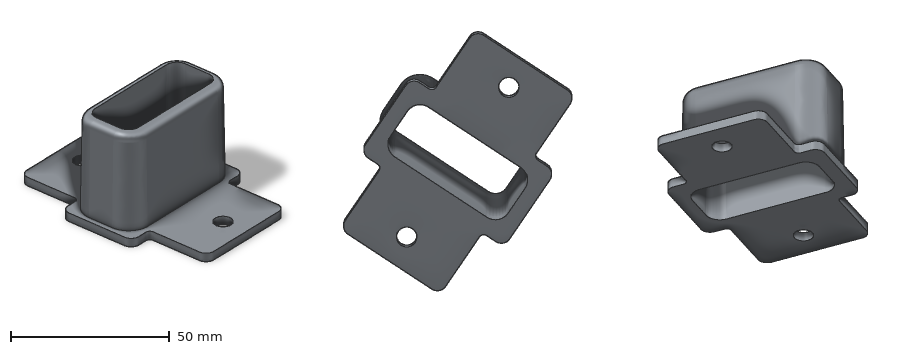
import cadquery as cq
import math

thickness = 3.15
flange_length = 76.95
arm_width = 38.1
tab_width = 29.2
tab_length = 54.65
outer_corner_radius = 3.15
inner_corner_radius = outer_corner_radius / 2

hole_diameter = 6.4
hole_spacing = 57.9

total_height = 38.1
socket_width = 25.4
socket_length = 50.8
socket_corner_radius = 7.9
draft_angle = 1.0
rim_radius = 3.15


def tapered_box(width, length, corner_radius, base_z):
    """Rounded box from base_z to the part's top, narrowing by the draft angle."""
    return (
        cq.Workplane("XY")
        .workplane(offset=base_z)
        .sketch()
        .rect(width, length)
        .vertices()
        .fillet(corner_radius)
        .finalize()
        .extrude(total_height - base_z, taper=draft_angle)
    )


def make_flange():
    arm = cq.Workplane("XY").box(
        flange_length, arm_width, thickness, centered=(True, True, False)
    )
    tab = cq.Workplane("XY").box(
        tab_width, tab_length, thickness, centered=(True, True, False)
    )
    half_tab = tab_width / 2
    half_arm = arm_width / 2
    notch_corners = [(x, y, thickness / 2) for x in (-half_tab, half_tab) for y in (-half_arm, half_arm)]

    arm = arm.edges("|Z").fillet(outer_corner_radius)
    tab = tab.edges("|Z").fillet(outer_corner_radius)
    cross = arm.union(tab)
    for corner in notch_corners:
        cross = cross.edges(cq.selectors.NearestToPointSelector(corner)).fillet(inner_corner_radius)

    half_spacing = hole_spacing / 2
    holes = (
        cq.Workplane("XY")
        .pushPoints([(-half_spacing, 0), (half_spacing, 0)])
        .circle(hole_diameter / 2)
        .extrude(thickness)
    )
    return cross.cut(holes)


def make_socket():
    box = tapered_box(socket_width, socket_length, socket_corner_radius, thickness)
    return box.faces(">Z").edges().fillet(rim_radius)


def make_cavity():
    inset = thickness - thickness * math.tan(math.radians(draft_angle))
    return tapered_box(
        socket_width - 2 * inset,
        socket_length - 2 * inset,
        socket_corner_radius - inset,
        0,
    )


result = make_flange().union(make_socket()).cut(make_cavity())